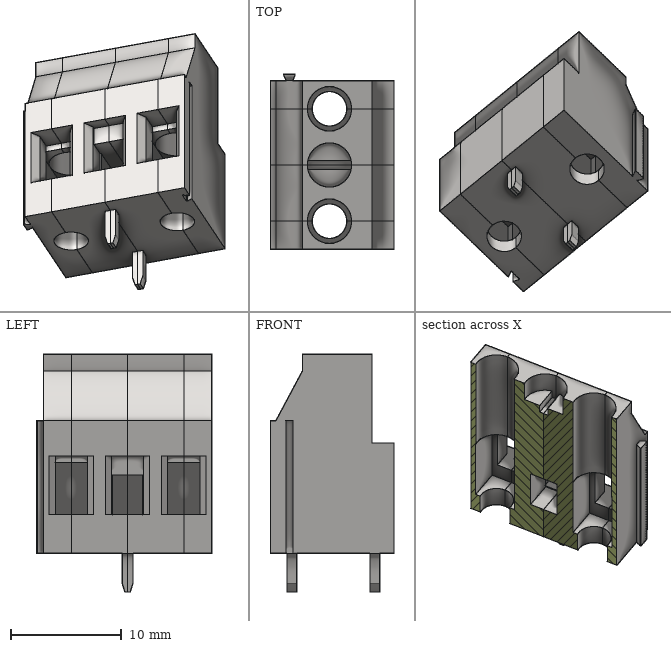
import cadquery as cq


pitch = 5.08
pole_count = 3
length = pole_count * pitch
depth = 11.2
height = 18.0
shoulder_height = 12.0
shoulder_depth = 0.5
slope_top_x = 2.9
slope_top_z = 16.5
back_step_x = 9.2
back_step_z = 10.0

entry_width = 4.0
throat_width = 2.9
entry_floor_z = 3.5
entry_top_z = 8.8
funnel_depth = 0.9
throat_end_x = 2.65

screw_x = 5.35
bore_diameter = 4.0
outlet_diameter = 3.1
chamber_length = 2 * (screw_x - throat_end_x)
chamber_width = 4.0
chamber_floor_z = 2.0
chamber_top_z = 8.2

screw_recess = 2.0
screw_top_z = height - screw_recess
screw_slot_width = 0.8
screw_slot_depth = 0.8
clamp_lip_x = 1.2
clamp_front_x = 2.9
clamp_top_z = 7.1
clamp_opening_width = 2.7
clamp_floor_drop = 0.1

pin_length = 3.5
pin_depth = 0.9
pin_width = 1.0
pin_tip_width = 0.5
pin_taper_length = 0.8
front_pin_x = 1.5
pin_spacing = 7.5

dovetail_x = 1.73
dovetail_neck_width = 0.6
dovetail_head_width = 1.05
dovetail_head_thickness = 0.1
dovetail_reach = 0.6

first_pole_y = pitch / 2
middle_pole_y = length / 2
last_pole_y = length - pitch / 2


def box(x_start, x_end, y_centre, width, z_start, z_end):
    """Box between X and Z limits, centred on y_centre."""
    return (
        cq.Workplane("XY", origin=(x_start, y_centre - width / 2, z_start))
        .box(x_end - x_start, width, z_end - z_start, centered=False)
    )


def screw_cylinder(y_centre, diameter, z_start, z_end):
    """Vertical cylinder on the screw axis of the pole at y_centre."""
    return (
        cq.Workplane("XY", origin=(screw_x, y_centre, z_start))
        .circle(diameter / 2)
        .extrude(z_end - z_start)
    )


def housing_slice(y_start, y_end):
    """Plain housing cross-section running from y_start to y_end."""
    outline = [
        (0, 0),
        (depth, 0),
        (depth, back_step_z),
        (back_step_x, back_step_z),
        (back_step_x, height),
        (slope_top_x, height),
        (slope_top_x, slope_top_z),
        (shoulder_depth, shoulder_height),
        (0, shoulder_height),
    ]
    return (
        cq.Workplane("XZ", origin=(0, y_start, 0))
        .polyline(outline)
        .close()
        .extrude(y_start - y_end)
    )


def funnel(y_centre):
    """Tapered mouth of a wire entry."""
    half_mouth = entry_width / 2
    half_throat = throat_width / 2
    outline = [
        (0, -half_mouth),
        (funnel_depth, -half_throat),
        (funnel_depth, half_throat),
        (0, half_mouth),
    ]
    return (
        cq.Workplane("XY", origin=(0, y_centre, entry_floor_z))
        .polyline(outline)
        .close()
        .extrude(entry_top_z - entry_floor_z)
    )


def throat(x_end, y_centre, top_z):
    """Parallel-sided passage behind the funnel."""
    return box(funnel_depth, x_end, y_centre, throat_width, entry_floor_z, top_z)


def cut_open_pole(section, y_centre):
    """Empty pole: wire entry, clamp chamber, screw bore and outlet through the floor."""
    chamber_end_x = throat_end_x + chamber_length
    return (
        section
        .cut(funnel(y_centre))
        .cut(throat(throat_end_x, y_centre, entry_top_z))
        .cut(box(throat_end_x, chamber_end_x, y_centre, chamber_width, chamber_floor_z, chamber_top_z))
        .cut(screw_cylinder(y_centre, bore_diameter, chamber_top_z, height))
        .cut(screw_cylinder(y_centre, outlet_diameter, 0, chamber_floor_z))
    )


def cut_fitted_pole(section, y_centre):
    """Pole filled by its screw and clamp: only the free space around them is removed."""
    clamp_floor_z = entry_floor_z - clamp_floor_drop
    clamp_end_x = throat_end_x + chamber_length
    slot_floor_z = screw_top_z - screw_slot_depth
    slot_space = screw_cylinder(y_centre, bore_diameter, slot_floor_z, height).intersect(
        box(0, depth, y_centre, screw_slot_width, slot_floor_z, height)
    )
    return (
        section
        .cut(funnel(y_centre))
        .cut(throat(clamp_lip_x, y_centre, entry_top_z))
        .cut(throat(clamp_front_x, y_centre, clamp_top_z))
        .cut(box(clamp_front_x, clamp_end_x, y_centre, clamp_opening_width, clamp_floor_z, clamp_top_z))
        .cut(slot_space)
        .cut(screw_cylinder(y_centre, bore_diameter, screw_top_z, height))
    )


def half_pin(x_start):
    """Half of a solder pin, on the -Y side of the middle pole's centre plane."""
    outline = [
        (middle_pole_y, 0),
        (middle_pole_y, -pin_length),
        (middle_pole_y - pin_tip_width / 2, -pin_length),
        (middle_pole_y - pin_width / 2, -pin_length + pin_taper_length),
        (middle_pole_y - pin_width / 2, 0),
    ]
    return (
        cq.Workplane("YZ", origin=(x_start, 0, 0))
        .polyline(outline)
        .close()
        .extrude(pin_depth)
    )


def dovetail(y_face):
    """Dovetail bar growing in +Y from y_face, narrow at the face."""
    half_neck = dovetail_neck_width / 2
    half_head = dovetail_head_width / 2
    flare_end = dovetail_reach - dovetail_head_thickness
    outline = [
        (-half_neck, 0),
        (half_neck, 0),
        (half_head, flare_end),
        (half_head, dovetail_reach),
        (-half_head, dovetail_reach),
        (-half_head, flare_end),
    ]
    return (
        cq.Workplane("XY", origin=(dovetail_x, y_face, 0))
        .polyline(outline)
        .close()
        .extrude(shoulder_height)
    )


def make_inner_section():
    """Section between the first and the middle pole, with half of each pin."""
    section = housing_slice(first_pole_y, middle_pole_y)
    section = cut_open_pole(section, first_pole_y)
    section = cut_fitted_pole(section, middle_pole_y)
    for x_start in (front_pin_x, front_pin_x + pin_spacing):
        section = section.union(half_pin(x_start))
    return section


groove_end = cut_open_pole(housing_slice(0, first_pole_y), first_pole_y).cut(dovetail(0))

rib_end = cut_open_pole(housing_slice(last_pole_y, length), last_pole_y).union(dovetail(length))

inner_sections = []
for mirrored in (False, True):
    inner_section = make_inner_section()
    if mirrored:
        inner_section = inner_section.mirror("XZ", (0, middle_pole_y, 0))
    inner_sections.append(inner_section.val())

result = cq.Compound.makeCompound([groove_end.val(), *inner_sections, rib_end.val()])